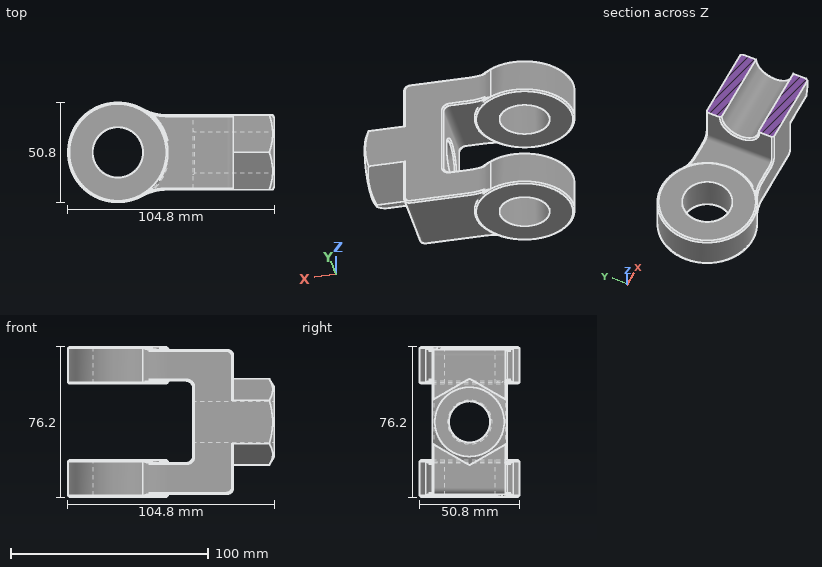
import cadquery as cq
import math

overall_length = 104.8
eye_radius = 25.41
eye_outer_z = 38.1
eye_inner_z = 19.3
pin_hole_diameter = 25.5

body_end_x = 58.7
body_width = 38.0
body_half_height = 36.7
slot_floor_x = 38.0
slot_half_height = 20.7
corner_radius = 3.4
blend_radius = eye_radius
edge_chamfer = 0.8
cove_radius = eye_outer_z - edge_chamfer - body_half_height

hex_end_x = overall_length - eye_radius
hex_tip_radius = 17.6
hex_chamfer_angle = 30.0
shank_hole_diameter = 20.7
shank_hole_chamfer = 0.8

half_width = body_width / 2
blend_center_y = half_width + blend_radius
center_distance = eye_radius + blend_radius
blend_center_x = math.sqrt(center_distance**2 - blend_center_y**2)

blend_end_gap = 0.01
blend_start_angle = math.atan2(blend_center_y, blend_center_x) - math.pi + blend_end_gap
blend_middle_angle = (blend_start_angle - math.pi / 2) / 2


def blend_point(angle, side):
    """Point on the blend arc of the +Y (1) or -Y (-1) side."""
    x = blend_center_x + blend_radius * math.cos(angle)
    y = blend_center_y + blend_radius * math.sin(angle)
    return (x, side * y)


def make_plan_block(half_height):
    """Block with the plan of the arms, from the eyes to the shank end."""
    return (
        cq.Workplane("XY")
        .workplane(offset=-half_height)
        .moveTo(body_end_x, -half_width)
        .lineTo(body_end_x, half_width)
        .lineTo(blend_center_x, half_width)
        .threePointArc(blend_point(blend_middle_angle, 1), blend_point(blend_start_angle, 1))
        .lineTo(*blend_point(blend_start_angle, -1))
        .threePointArc(blend_point(blend_middle_angle, -1), (blend_center_x, -half_width))
        .close()
        .extrude(2 * half_height)
    )


def make_fork():
    """U-shaped body with rounded corners and chamfered outlines."""
    slot = cq.Workplane("XY").box(
        slot_floor_x, 2 * eye_radius, 2 * slot_half_height, centered=(False, True, True)
    )
    block_edges = cq.selectors.BoxSelector(
        (blend_center_x, -eye_radius, -eye_outer_z), (overall_length, eye_radius, eye_outer_z)
    )
    fork = make_plan_block(body_half_height).cut(slot)
    fork = fork.edges("|Y").edges(block_edges).fillet(corner_radius)
    return fork.edges("|X").chamfer(edge_chamfer)


def make_cove(arm_face_z, eye_side):
    """Concave fillet from an arm face up (1) or down (-1) to the eye's chamfer."""
    step_z = arm_face_z + eye_side * cove_radius
    root_z = arm_face_z - eye_side * edge_chamfer
    inner_radius = eye_radius - edge_chamfer
    outer_radius = eye_radius + cove_radius
    arc_inset = cove_radius * (1 - math.sqrt(0.5))
    ring = (
        cq.Workplane("XZ")
        .moveTo(inner_radius, root_z)
        .lineTo(inner_radius, step_z)
        .lineTo(eye_radius, step_z)
        .threePointArc(
            (eye_radius + arc_inset, arm_face_z + eye_side * arc_inset),
            (outer_radius, arm_face_z),
        )
        .lineTo(outer_radius, root_z)
        .close()
        .revolve(360, (0, 0, 0), (0, 1, 0))
    )
    return ring.intersect(make_plan_block(eye_outer_z))


def make_eye(bottom_z):
    """Round eye, slightly thicker than the arm that carries it."""
    return (
        cq.Workplane("XY")
        .workplane(offset=bottom_z)
        .circle(eye_radius)
        .extrude(eye_outer_z - eye_inner_z)
        .edges()
        .chamfer(edge_chamfer)
    )


def make_hex():
    """Hexagonal shank with flats facing Y and a conically chamfered end."""
    across_corners = body_width / math.cos(math.pi / 6)
    length = hex_end_x - slot_floor_x - corner_radius
    hexagon = (
        cq.Workplane("YZ")
        .workplane(offset=hex_end_x - length)
        .polygon(6, across_corners)
        .extrude(length)
        .rotate((0, 0, 0), (1, 0, 0), 90)
    )
    cone_slope = math.tan(math.radians(hex_chamfer_angle))
    cone_base_x = hex_end_x - (across_corners - hex_tip_radius) * cone_slope
    envelope = (
        cq.Workplane("XY")
        .polyline([
            (0, 0),
            (0, across_corners),
            (cone_base_x, across_corners),
            (hex_end_x, hex_tip_radius),
            (hex_end_x, 0),
        ])
        .close()
        .revolve(360, (0, 0, 0), (1, 0, 0))
    )
    return hexagon.intersect(envelope)


def make_shank_hole():
    """Bore along X from the slot floor through the shank, chamfered at the slot."""
    hole_radius = shank_hole_diameter / 2
    return (
        cq.Workplane("XY")
        .moveTo(slot_floor_x, 0)
        .lineTo(slot_floor_x, hole_radius + shank_hole_chamfer)
        .lineTo(slot_floor_x + shank_hole_chamfer, hole_radius)
        .lineTo(hex_end_x, hole_radius)
        .lineTo(hex_end_x, 0)
        .close()
        .revolve(360, (0, 0, 0), (1, 0, 0))
    )


pin_hole = cq.Workplane("XY").circle(pin_hole_diameter / 2).extrude(eye_outer_z, both=True)

result = make_fork()
for eye_bottom_z in (eye_inner_z, -eye_outer_z):
    result = result.union(make_eye(eye_bottom_z))
for direction in (1, -1):
    result = result.union(make_cove(direction * body_half_height, direction))
    result = result.union(make_cove(direction * slot_half_height, -direction))
result = result.union(make_hex()).cut(pin_hole).cut(make_shank_hole())